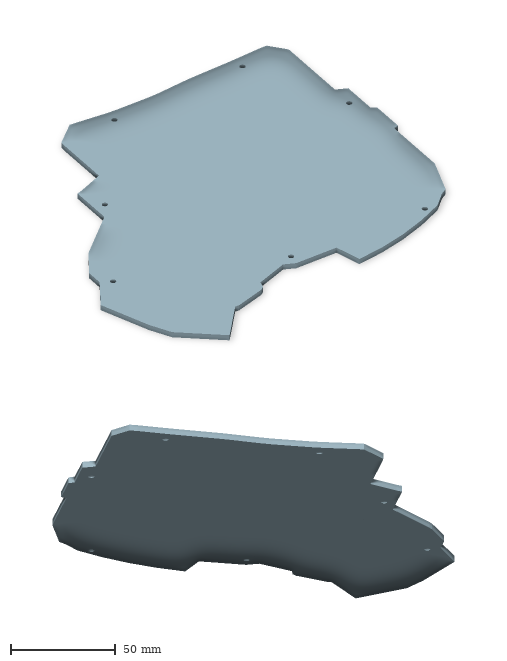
import cadquery as cq

WIDTH = 189.19
DEPTH = 200.41
THICKNESS = 3.0

TOP_EDGE_Y = 197.7
TOP_LEFT_EDGE_Y = 191.8
BOTTOM_LEFT_EDGE_Y = 58.5
BOTTOM_STEP_Y = 41.8
BOTTOM_FLAT_Y = 10.0

LEFT_WAIST_X = 4.3
RIGHT_EDGE_X = 157.3

TAB_BOTTOM_LEFT_X = 70.0
TAB_TOP_LEFT_X = 71.6
TAB_TOP_RIGHT_X = 89.7
TAB_BOTTOM_RIGHT_X = 90.4

BOW_TOP = (154.9, 179.7)
BOW_MIDDLE = (165.6, 153.3)
BOW_BOTTOM = (171.2, 124.0)

THUMB_RIGHT_TIP = (WIDTH, 37.5)
THUMB_BOTTOM_TIP = (134.3, 0.0)

LEFT_SIDE = [
    (0.0, 184.7),
    (0.0, 180.9),
    (0.9, 167.3),
    (1.2, 162.2),
    (1.9, 145.5),
    (2.2, 139.0),
    (2.5, 135.4),
    (4.0, 120.1),
    (LEFT_WAIST_X, 114.3),
    (LEFT_WAIST_X, 95.5),
    (4.0, 89.7),
    (2.5, 73.8),
    (2.2, 70.1),
]

TOP_SIDE = [
    (8.5, TOP_LEFT_EDGE_Y),
    (48.3, TOP_LEFT_EDGE_Y),
    (50.9, TOP_EDGE_Y),
    (TAB_BOTTOM_LEFT_X, TOP_EDGE_Y),
    (TAB_TOP_LEFT_X, DEPTH),
    (TAB_TOP_RIGHT_X, DEPTH),
    (TAB_BOTTOM_RIGHT_X, TOP_EDGE_Y),
    (125.5, TOP_EDGE_Y),
    (146.0, 190.3),
    (148.2, 186.7),
    BOW_TOP,
]

RIGHT_SIDE = [
    (RIGHT_EDGE_X, 120.1),
    (RIGHT_EDGE_X, 97.0),
    (154.7, 91.2),
    (161.0, 74.0),
    (164.8, 72.9),
    (166.3, 71.0),
    (171.1, 55.0),
    (171.0, 52.8),
    THUMB_RIGHT_TIP,
]

BOTTOM_SIDE = [
    (171.8, 16.0),
    (160.7, 10.1),
    THUMB_BOTTOM_TIP,
    (120.3, 8.8),
    (118.2, BOTTOM_FLAT_Y),
    (109.4, BOTTOM_FLAT_Y),
    (95.7, 18.7),
    (94.2, 20.1),
    (74.7, BOTTOM_STEP_Y),
    (51.5, BOTTOM_STEP_Y),
    (50.6, 44.7),
    (44.9, BOTTOM_LEFT_EDGE_Y),
    (15.2, BOTTOM_LEFT_EDGE_Y),
    (12.2, 58.7),
]

HOLE_DIAMETER = 3.0
HOLE_CENTRES = [
    (61.3, 191.3),
    (153.9, 173.1),
    (7.9, 165.6),
    (151.3, 98.0),
    (10.7, 90.2),
    (66.3, 47.7),
    (121.2, 15.9),
]


def add_lines(outline, points):
    for point in points:
        outline = outline.lineTo(*point)
    return outline


def make_plate():
    outline = cq.Workplane("XY").moveTo(*LEFT_SIDE[-1])
    outline = add_lines(outline, reversed(LEFT_SIDE[:-1]))
    outline = add_lines(outline, TOP_SIDE)
    outline = outline.threePointArc(BOW_MIDDLE, BOW_BOTTOM)
    outline = add_lines(outline, RIGHT_SIDE)
    outline = add_lines(outline, BOTTOM_SIDE)
    return outline.close().extrude(THICKNESS)


def make_holes():
    holes = cq.Workplane("XY").pushPoints(HOLE_CENTRES)
    return holes.circle(HOLE_DIAMETER / 2).extrude(THICKNESS)


result = make_plate().cut(make_holes())